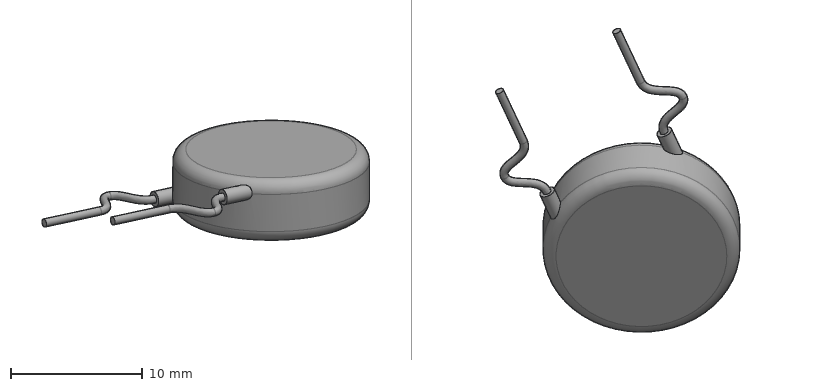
import cadquery as cq

disc_diameter = 15.0
disc_thickness = 5.0
disc_edge_radius = 1.0
disc_radius = disc_diameter / 2

wire_diameter = 0.64
overall_width = 15.21
kink_offset = 2.5
kink_half_length = 2.5
straight_length = 5.0
lead_x = overall_width / 2 - wire_diameter / 2 - kink_offset
lead_z = disc_thickness / 2 - disc_edge_radius
root_handle = 1.6
peak_handle = 1.2

sleeve_diameter = 1.2
sleeve_end_y = -disc_radius

kink_peak_y = sleeve_end_y - kink_half_length
kink_end_y = kink_peak_y - kink_half_length
lead_tip_y = kink_end_y - straight_length


def make_sleeve(side):
    """Round sleeve along Y; side is +1 for the upper right one, -1 for the lower left one."""
    return (
        cq.Workplane("XZ", origin=(side * lead_x, 0, side * lead_z))
        .circle(sleeve_diameter / 2)
        .extrude(-sleeve_end_y)
    )


def make_housing():
    """Rounded disc with both sleeves grown from it as one coating."""
    housing = (
        cq.Workplane("XY", origin=(0, 0, -disc_thickness / 2))
        .circle(disc_radius)
        .extrude(disc_thickness)
        .edges("%CIRCLE")
        .fillet(disc_edge_radius)
    )
    for side in (1, -1):
        housing = housing.union(make_sleeve(side))
    return housing.solids()


def make_lead(side):
    """Round wire starting on the sleeve's end face, kinked outward and then straight to its tip."""
    inner_x = side * lead_x
    outer_x = side * (lead_x + kink_offset)
    path = (
        cq.Workplane("XY", origin=(0, 0, side * lead_z))
        .moveTo(inner_x, sleeve_end_y)
        .bezier(
            [
                (inner_x, sleeve_end_y - root_handle),
                (outer_x, kink_peak_y + peak_handle),
                (outer_x, kink_peak_y),
            ],
            includeCurrent=True,
        )
        .bezier(
            [
                (outer_x, kink_peak_y - peak_handle),
                (inner_x, kink_end_y + root_handle),
                (inner_x, kink_end_y),
            ],
            includeCurrent=True,
        )
        .lineTo(inner_x, lead_tip_y)
    )
    return (
        cq.Workplane("XZ", origin=(inner_x, sleeve_end_y, side * lead_z))
        .circle(wire_diameter / 2)
        .sweep(path)
    )


housing = make_housing()
leads = [make_lead(side) for side in (1, -1)]

result = cq.Compound.makeCompound([housing.val(), *[lead.val() for lead in leads]])